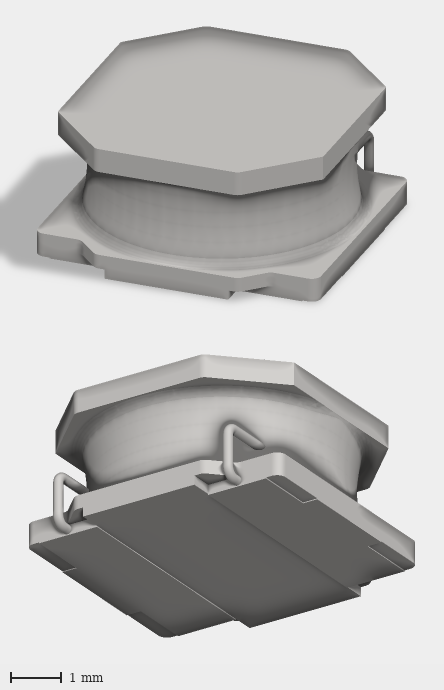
import cadquery as cq

pad_standoff = 0.02
flange_thickness = 0.5
winding_height = 1.81
base_top = pad_standoff + flange_thickness
cap_bottom = base_top + winding_height
winding_middle = base_top + winding_height / 2

octagon_x = 5.62
octagon_y = 6.0
octagon_chamfer = 1.3
base_plate_x = 6.0
base_plate_y = 5.0
corner_radius = 0.2

waist_radius = 2.66
barrel_end_radius = 2.80
barrel_fillet = 0.2

pad_inner_x = 1.31
pad_outer_x = 2.67
pad_width_x = pad_outer_x - pad_inner_x
pad_middle_x = (pad_outer_x + pad_inner_x) / 2
pad_thickness = 0.2
pad_height = pad_standoff + pad_thickness
tab_width_y = 2.32
wire_diameter = 0.2
wire_x = 2.0
wire_bend_radius = 0.2
wire_riser_y = 2.84
wire_low_z = pad_standoff + wire_diameter / 2
wire_high_z = 1.19
wire_buried_y = 1.4

edge_search = 0.02


def octagon(bottom_z):
    """Octagonal flange with the corners on its long Y sides rounded."""
    return (
        cq.Workplane("XY", origin=(0, 0, bottom_z))
        .rect(octagon_x, octagon_y)
        .extrude(flange_thickness)
        .edges("|Z")
        .chamfer(octagon_chamfer)
        .edges("|Z and (>Y or <Y)")
        .fillet(corner_radius)
    )


def base_flange():
    """Rectangular plate merged with the octagon, all upright corners rounded."""
    plate = (
        cq.Workplane("XY", origin=(0, 0, pad_standoff))
        .rect(base_plate_x, base_plate_y)
        .extrude(flange_thickness)
        .edges("|Z")
        .fillet(corner_radius)
    )
    flange = plate.union(octagon(pad_standoff))
    octagon_meets_plate_x = octagon_x / 2 - octagon_chamfer + (octagon_y - base_plate_y) / 2
    inner_corners = cq.selectors.BoxSelector(
        (-octagon_meets_plate_x - edge_search, -base_plate_y / 2 - edge_search, 0),
        (octagon_meets_plate_x + edge_search, base_plate_y / 2 + edge_search, base_top),
    )
    return flange.edges("|Z").edges(inner_corners).fillet(corner_radius)


def winding():
    """Barrel turned about Z."""
    return (
        cq.Workplane("XZ")
        .moveTo(0, base_top)
        .lineTo(barrel_end_radius, base_top)
        .threePointArc((waist_radius, winding_middle), (barrel_end_radius, cap_bottom))
        .lineTo(0, cap_bottom)
        .close()
        .revolve(360, (0, 0, 0), (0, 1, 0))
    )


def make_core():
    """Flanges and winding in one solid, with fillets at both ends of the barrel."""
    core = base_flange().union(winding()).union(octagon(cap_bottom))
    barrel_ends = cq.selectors.BoxSelector(
        (-edge_search, -edge_search, base_top - edge_search),
        (edge_search, edge_search, cap_bottom + edge_search),
    )
    return core.edges("%CIRCLE").edges(barrel_ends).fillet(barrel_fillet)


def pad_bar(side, length_y):
    """Straight bar along Y, as wide and tall as the main part of the pad."""
    return (
        cq.Workplane("XY")
        .center(side * pad_middle_x, 0)
        .rect(pad_width_x, length_y)
        .extrude(pad_height)
    )


def pad_tab(side):
    """Part of the pad that reaches out to the side of the base."""
    return (
        cq.Workplane("XY")
        .center(side * (pad_middle_x + base_plate_x / 2) / 2, 0)
        .rect(base_plate_x / 2 - pad_middle_x, tab_width_y)
        .extrude(pad_height)
    )


def pad_recess(side):
    """Channel for the pad, open through both Y ends of the base, plus the side slot for its tab."""
    return pad_bar(side, octagon_y).union(pad_tab(side))


def wire(side):
    """Lead that leaves the pad in +Y, rises, and turns back into the winding."""
    bend_start_y = wire_riser_y - wire_bend_radius
    path = (
        cq.Workplane("YZ", origin=(side * wire_x, 0, 0))
        .moveTo(wire_buried_y, wire_low_z)
        .lineTo(bend_start_y, wire_low_z)
        .tangentArcPoint((wire_bend_radius, wire_bend_radius))
        .lineTo(wire_riser_y, wire_high_z - wire_bend_radius)
        .tangentArcPoint((-wire_bend_radius, wire_bend_radius))
        .lineTo(wire_buried_y, wire_high_z)
    )
    return (
        cq.Workplane("XZ", origin=(side * wire_x, wire_buried_y, wire_low_z))
        .circle(wire_diameter / 2)
        .sweep(path)
    )


def make_terminal(side, core):
    """Pad and lead of one side, the lead ending on the surface of the winding."""
    pad = pad_bar(side, base_plate_y).union(pad_tab(side))
    return pad.union(wire(side).cut(core))


core = make_core()
for side in (-1, 1):
    core = core.cut(pad_recess(side))
terminals = [make_terminal(side, core) for side in (-1, 1)]

result = cq.Compound.makeCompound([core.val(), *[terminal.val() for terminal in terminals]])